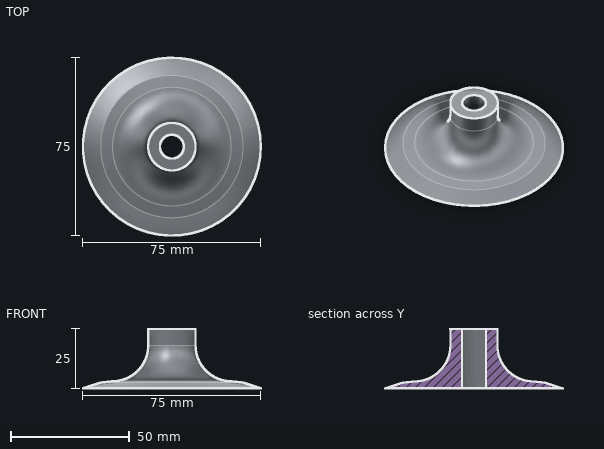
import cadquery as cq

rim_diameter = 75.0
shoulder_diameter = 60.0
flare_diameter = 50.0
neck_diameter = 20.0
bore_diameter = 10.0
total_height = 25.0
flare_base_height = 3.0
shoulder_height = 2.5

rim_radius = rim_diameter / 2
shoulder_radius = shoulder_diameter / 2
flare_outer_radius = flare_diameter / 2
neck_radius = neck_diameter / 2

flare_radius = flare_outer_radius - neck_radius
neck_base_height = flare_base_height + flare_radius
diagonal_offset = flare_radius * 0.5**0.5
flare_midpoint = (
    flare_outer_radius - diagonal_offset,
    neck_base_height - diagonal_offset,
)

half_section = (
    cq.Workplane("XZ")
    .lineTo(rim_radius, 0)
    .lineTo(shoulder_radius, shoulder_height)
    .lineTo(flare_outer_radius, flare_base_height)
    .threePointArc(flare_midpoint, (neck_radius, neck_base_height))
    .lineTo(neck_radius, total_height)
    .lineTo(0, total_height)
    .close()
)
body = half_section.revolve(360, (0, 0, 0), (0, 1, 0))

bore = cq.Workplane("XY").circle(bore_diameter / 2).extrude(total_height)

result = body.cut(bore)